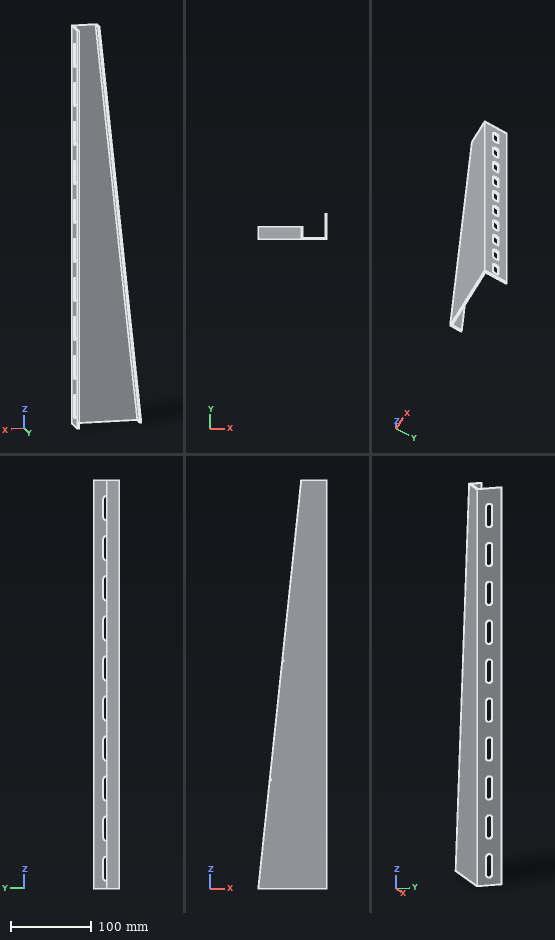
import cadquery as cq
import math

total_height = 510.5
base_width = 86.0
top_width = 32.0
straight_flange_depth = 32.0
sloped_flange_depth = straight_flange_depth / 2
sheet = 2.0

slot_count = 10
slot_pitch = 50.0
slot_length = 30.0
slot_width = 8.0
first_slot_above_base = 25.0

slope_angle = math.atan2(base_width - top_width, total_height)
end_drop = sheet * math.sin(slope_angle)
inward_shift = sheet * math.cos(slope_angle)
web_bottom = end_drop
slope_run = base_width - top_width


def extrude_back(outline, front, back):
    """Extrude an XZ outline along +Y from front to back."""
    plane = cq.Workplane("XZ", origin=(0, front, 0))
    return plane.polyline(outline).close().extrude(front - back)


def make_web():
    outline = [
        (0, web_bottom),
        (base_width, web_bottom),
        (base_width, total_height),
        (slope_run, total_height),
    ]
    return extrude_back(outline, 0, sheet)


def make_sloped_flange():
    outline = [
        (0, web_bottom),
        (inward_shift, web_bottom - end_drop),
        (slope_run + inward_shift, total_height - end_drop),
        (slope_run, total_height),
    ]
    return extrude_back(outline, sheet, sloped_flange_depth)


def make_straight_flange():
    outline = [
        (base_width - sheet, web_bottom),
        (base_width, web_bottom),
        (base_width, total_height),
        (base_width - sheet, total_height),
    ]
    return extrude_back(outline, 0, straight_flange_depth)


def make_slots():
    slot_centers = [
        (straight_flange_depth / 2, web_bottom + first_slot_above_base + i * slot_pitch)
        for i in range(slot_count)
    ]
    plane = cq.Workplane("YZ", origin=(base_width - sheet, 0, 0))
    return plane.pushPoints(slot_centers).slot2D(slot_length, slot_width, 90).extrude(sheet)


body = make_web().union(make_sloped_flange()).union(make_straight_flange())
result = body.cut(make_slots())